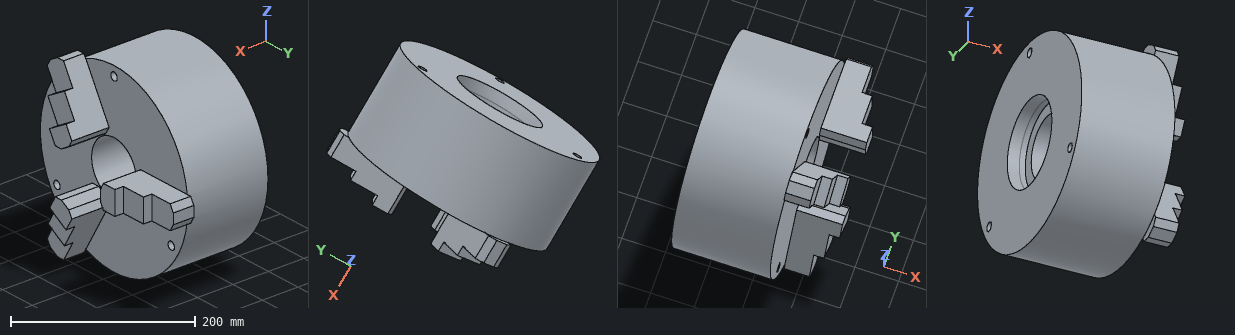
import cadquery as cq


body_radius = 125.0
body_length = 113.0
bore_radius = 38.0

recess_mouth_radius = 53.3
recess_inner_radius = 52.3
recess_taper_depth = 14.0
recess_depth = 21.3

bolt_hole_diameter = 10.7
bolt_circle_radius = 111.8

jaw_count = 3
jaw_width = 32.5
jaw_inner_radius = 39.8
jaw_outer_radius = 135.0
jaw_upper_step_radius = 64.5
jaw_lower_step_radius = 98.5
jaw_lower_height = 28.9
jaw_middle_height = 40.5
jaw_height = 52.5
tip_chamfer_radial = 5.2
tip_chamfer_side = 9.0
jaw_spacing = 360 / jaw_count


def make_body():
    """Revolve the body with its stepped, tapered bore about the X axis."""
    return (
        cq.Workplane("XY")
        .moveTo(0, recess_mouth_radius)
        .lineTo(recess_taper_depth, recess_inner_radius)
        .lineTo(recess_depth, recess_inner_radius)
        .lineTo(recess_depth, bore_radius)
        .lineTo(body_length, bore_radius)
        .lineTo(body_length, body_radius)
        .lineTo(0, body_radius)
        .close()
        .revolve(360, (0, 0, 0), (1, 0, 0))
    )


def make_bolt_holes():
    """Through holes on the bolt circle, the first straight above the axis."""
    return (
        cq.Workplane("YZ")
        .polarArray(bolt_circle_radius, 90, 360, jaw_count)
        .circle(bolt_hole_diameter / 2)
        .extrude(body_length)
    )


def make_jaw():
    """One stepped jaw pointing along +Y, with chamfered corners at both tips."""
    half_width = jaw_width / 2
    flat_half_width = half_width - tip_chamfer_side
    front_face = body_length
    plan = (
        cq.Workplane("YZ", origin=(front_face, 0, 0))
        .moveTo(jaw_inner_radius, -flat_half_width)
        .lineTo(jaw_inner_radius + tip_chamfer_radial, -half_width)
        .lineTo(jaw_outer_radius - tip_chamfer_radial, -half_width)
        .lineTo(jaw_outer_radius, -flat_half_width)
        .lineTo(jaw_outer_radius, flat_half_width)
        .lineTo(jaw_outer_radius - tip_chamfer_radial, half_width)
        .lineTo(jaw_inner_radius + tip_chamfer_radial, half_width)
        .lineTo(jaw_inner_radius, flat_half_width)
        .close()
        .extrude(jaw_height)
    )
    stepped_profile = (
        cq.Workplane("XY")
        .moveTo(front_face, jaw_inner_radius)
        .lineTo(front_face + jaw_height, jaw_inner_radius)
        .lineTo(front_face + jaw_height, jaw_upper_step_radius)
        .lineTo(front_face + jaw_middle_height, jaw_upper_step_radius)
        .lineTo(front_face + jaw_middle_height, jaw_lower_step_radius)
        .lineTo(front_face + jaw_lower_height, jaw_lower_step_radius)
        .lineTo(front_face + jaw_lower_height, jaw_outer_radius)
        .lineTo(front_face, jaw_outer_radius)
        .close()
        .extrude(half_width, both=True)
    )
    return plan.intersect(stepped_profile)


result = make_body().cut(make_bolt_holes())
jaw = make_jaw()
for index in range(jaw_count):
    result = result.union(jaw.rotate((0, 0, 0), (1, 0, 0), index * jaw_spacing))